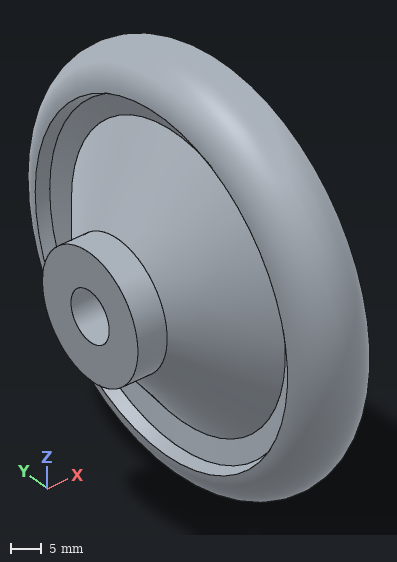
import cadquery as cq

outer_radius = 40.0
total_depth = 30.0

rim_width = 15.4
rim_section_radius = rim_width / 2
rim_center_x = total_depth - rim_section_radius
rim_center_radius = outer_radius - rim_section_radius

hub_radius = 25.0 / 2
hub_length = 6.0
bore_diameter = 10.0

cone_end_radius = 28.0
cone_end_x = 18.1
groove_outer_radius = 32.15
groove_outer_x = 16.9
rim_edge_radius = 33.0

rim_edge_offset = rim_edge_radius - rim_center_radius
rim_edge_x = rim_center_x - (rim_section_radius**2 - rim_edge_offset**2) ** 0.5


def make_wheel():
    """Revolve the half section, drawn as (X, radius), about the X axis."""
    half_section = (
        cq.Workplane("XY")
        .lineTo(0, hub_radius)
        .lineTo(hub_length, hub_radius)
        .lineTo(cone_end_x, cone_end_radius)
        .lineTo(groove_outer_x, groove_outer_radius)
        .lineTo(rim_edge_x, rim_edge_radius)
        .threePointArc((rim_center_x, outer_radius), (total_depth, rim_center_radius))
        .lineTo(total_depth, 0)
        .close()
    )
    return half_section.revolve(360, (0, 0, 0), (1, 0, 0))


def make_bore():
    """Through bore along the X axis."""
    return cq.Workplane("YZ").circle(bore_diameter / 2).extrude(total_depth)


result = make_wheel().cut(make_bore())